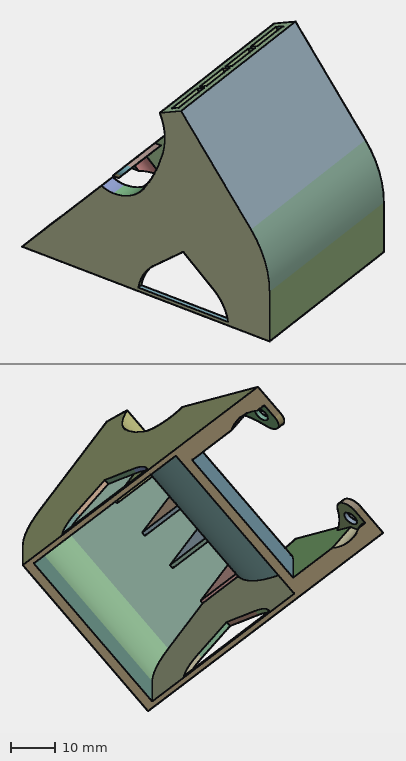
import cadquery as cq
import math

LENGTH = 68.11
WIDTH = 45.0
HALF_WIDTH = WIDTH / 2

WALL = 2.2
SIDE_WALL = 1.25
THROAT_RADIUS = 15.5
THROAT_CENTER = (23.8, 43.74)
OUTLET_ANGLE = 24.8
OUTLET_THICKNESS = 6.5
SEAM_ANGLE = -15.0
SADDLE_RADIUS = 37.5
NOSE_RADIUS = 10.0
FRONT_X = 22.58
BACK_SLOPE = 52.1
BACK_RADIUS = 24.2

OUTLET_MARGIN = 2.0
RIB_THICKNESS = 1.0
RIB_PITCH = 10.0
RIB_COUNT = 3

ARM_THICKNESS = 4.4
ARM_SLOPE = 48.4
ARM_TOP_Z = 24.64
ARM_FILLET = 10.0
ARM_JOIN_ANGLE = -34.6

TAB_THICKNESS = 1.25
TAB_REACH = 11.1
TAB_CORNER = 3.0
TAB_SHOULDER = (9.5, 5.8)
TAB_END = 12.3
TAB_HOLLOW = 0.5
TAB_HOLE_DIAMETER = 3.5
TAB_HOLE = (6.5, 4.95)
SCREW_CLEARANCE_DIAMETER = 6.5
SCREW_CLEARANCE_DEPTH = 10.0

SILL = 1.0
WINDOW_CENTER_X = 44.35
WINDOW_HALF_WIDTH = 12.35
WINDOW_HEIGHT = 14.2
WINDOW_SLOPE = 40.0
WINDOW_SHOULDER_X = 8.2


def polar(center, radius, angle):
    """Point at an angle in degrees on a circle."""
    a = math.radians(angle)
    return (center[0] + radius * math.cos(a), center[1] + radius * math.sin(a))


SADDLE_CENTER = polar(THROAT_CENTER, THROAT_RADIUS - SADDLE_RADIUS, SEAM_ANGLE)
NOSE_ANGLE = -math.degrees(
    math.acos((FRONT_X + NOSE_RADIUS - SADDLE_CENTER[0]) / (SADDLE_RADIUS + NOSE_RADIUS))
)
NOSE_CENTER = polar(SADDLE_CENTER, SADDLE_RADIUS + NOSE_RADIUS, NOSE_ANGLE)
BACK_NORMAL = 90 - BACK_SLOPE
OUTLET_TIP = polar(THROAT_CENTER, THROAT_RADIUS + OUTLET_THICKNESS, OUTLET_ANGLE)
BACK_CENTER_X = LENGTH - BACK_RADIUS
BACK_CENTER = (
    BACK_CENTER_X,
    OUTLET_TIP[1]
    - (BACK_RADIUS + (BACK_CENTER_X - OUTLET_TIP[0]) * math.cos(math.radians(BACK_NORMAL)))
    / math.sin(math.radians(BACK_NORMAL)),
)


def side_plane(y):
    """XZ plane at a given Y; positive extrusion runs toward -Y."""
    return cq.Workplane(cq.Plane(origin=(0, y, 0), xDir=(1, 0, 0), normal=(0, -1, 0)))


def duct(inset, half_width):
    """Body shape with its walls moved inward; outlet and bottom ends stay in place."""
    throat = THROAT_RADIUS + inset
    saddle = SADDLE_RADIUS + inset
    nose = NOSE_RADIUS - inset
    back = BACK_RADIUS - inset
    tip_step = inset / math.cos(math.radians(OUTLET_ANGLE - BACK_NORMAL))
    tip = polar(OUTLET_TIP, -tip_step, OUTLET_ANGLE)
    nose_start = NOSE_ANGLE + 180
    return (
        side_plane(half_width)
        .moveTo(FRONT_X + inset, 0)
        .lineTo(*polar(NOSE_CENTER, nose, 180))
        .threePointArc(
            polar(NOSE_CENTER, nose, (180 + nose_start) / 2),
            polar(NOSE_CENTER, nose, nose_start),
        )
        .threePointArc(
            polar(SADDLE_CENTER, saddle, (NOSE_ANGLE + SEAM_ANGLE) / 2),
            polar(SADDLE_CENTER, saddle, SEAM_ANGLE),
        )
        .threePointArc(
            polar(THROAT_CENTER, throat, (SEAM_ANGLE + OUTLET_ANGLE) / 2),
            polar(THROAT_CENTER, throat, OUTLET_ANGLE),
        )
        .lineTo(*tip)
        .lineTo(*polar(BACK_CENTER, back, BACK_NORMAL))
        .threePointArc(
            polar(BACK_CENTER, back, BACK_NORMAL / 2),
            polar(BACK_CENTER, back, 0),
        )
        .lineTo(LENGTH - inset, 0)
        .close()
        .extrude(2 * half_width)
    )


def arm():
    """Sloped side arm on the -Y side, filleted into the long hollow arc."""
    join = polar(SADDLE_CENTER, SADDLE_RADIUS, ARM_JOIN_ANGLE)
    fillet_center = polar(SADDLE_CENTER, SADDLE_RADIUS - ARM_FILLET, ARM_JOIN_ANGLE)
    top_corner = (ARM_TOP_Z / math.tan(math.radians(ARM_SLOPE)), ARM_TOP_Z)
    return (
        side_plane(ARM_THICKNESS - HALF_WIDTH)
        .lineTo(join[0], 0)
        .lineTo(*join)
        .threePointArc(
            polar(fillet_center, ARM_FILLET, (ARM_JOIN_ANGLE - 90) / 2),
            polar(fillet_center, ARM_FILLET, -90),
        )
        .tangentArcPoint(top_corner, relative=False)
        .close()
        .extrude(ARM_THICKNESS)
    )


def tab_plane():
    """Plane of the arm slope: local x runs inward from the -Y side, local y up the slope."""
    slope = math.radians(ARM_SLOPE)
    return cq.Workplane(
        cq.Plane(
            origin=(0, -HALF_WIDTH, 0),
            xDir=(0, 1, 0),
            normal=(math.sin(slope), 0, -math.cos(slope)),
        )
    )


def tab():
    """Rounded ear lying in the arm slope; its edges run along X."""
    outline = (
        tab_plane()
        .lineTo(TAB_REACH - TAB_CORNER, 0)
        .tangentArcPoint((TAB_REACH, TAB_CORNER), relative=False)
        .tangentArcPoint(TAB_SHOULDER, relative=False)
        .sagittaArc((ARM_THICKNESS, TAB_END), TAB_HOLLOW)
        .lineTo(0, TAB_END)
        .close()
        .val()
    )
    depth_in_x = TAB_THICKNESS / math.sin(math.radians(ARM_SLOPE))
    return cq.Workplane(cq.Solid.extrudeLinear(outline, [], cq.Vector(depth_in_x, 0, 0)))


def screw_hole():
    """Screw hole through the tab, with room for the screw end cut into the arm behind it."""
    center = tab_plane().center(*TAB_HOLE)
    hole = center.circle(TAB_HOLE_DIAMETER / 2).extrude(TAB_THICKNESS)
    clearance = (
        center.workplane(offset=TAB_THICKNESS)
        .circle(SCREW_CLEARANCE_DIAMETER / 2)
        .extrude(SCREW_CLEARANCE_DEPTH)
    )
    return hole.union(clearance)


def outlet_grille():
    """Ribs and thicker side walls that split the throat of the hollow into slots."""
    seam_z = polar(THROAT_CENTER, THROAT_RADIUS, SEAM_ANGLE)[1]
    slab = cq.Workplane().workplane(offset=seam_z)
    margin_y = HALF_WIDTH - OUTLET_MARGIN / 2
    grille = (
        slab.pushPoints([(0, -margin_y), (0, margin_y)])
        .rect(2 * LENGTH, OUTLET_MARGIN)
        .extrude(LENGTH)
    )
    for i in range(RIB_COUNT):
        y = (i - (RIB_COUNT - 1) / 2) * RIB_PITCH
        grille = grille.union(slab.center(0, y).rect(2 * LENGTH, RIB_THICKNESS).extrude(LENGTH))
    return grille


def window():
    """Pointed-arch opening through both side walls."""
    roof_drop = WINDOW_SHOULDER_X * math.tan(math.radians(WINDOW_SLOPE))
    half = (
        side_plane(HALF_WIDTH)
        .moveTo(0, WINDOW_HEIGHT)
        .lineTo(WINDOW_SHOULDER_X, WINDOW_HEIGHT - roof_drop)
        .tangentArcPoint((WINDOW_HALF_WIDTH, 0), relative=False)
        .lineTo(0, 0)
        .close()
        .extrude(WIDTH)
    )
    return half.union(half.mirror("YZ")).translate((WINDOW_CENTER_X, 0, SILL))


def both_sides(shape):
    return shape.union(shape.mirror("XZ"))


hollow = duct(WALL, HALF_WIDTH - SIDE_WALL).cut(outlet_grille())
result = (
    duct(0, HALF_WIDTH)
    .union(both_sides(arm().union(tab()).cut(screw_hole())))
    .cut(hollow)
    .cut(window())
)